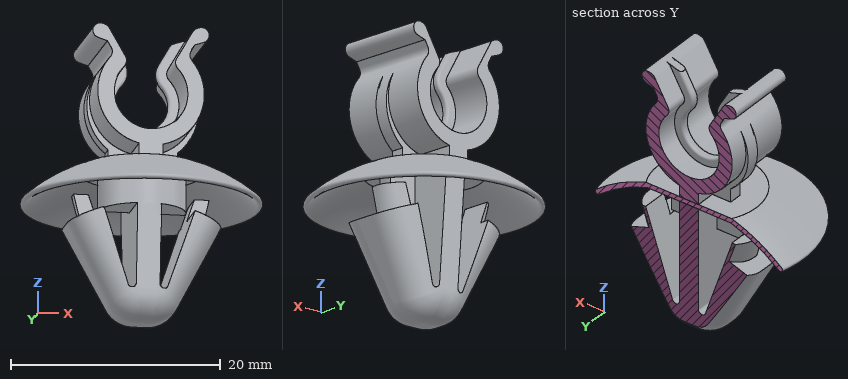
import cadquery as cq
import math


WASHER_RADIUS = 11.593
WASHER_HEIGHT = 3.8
DOME_RADIUS = 17.55
RIM_ROUND = 0.3

SHELL = 2 * RIM_ROUND
RIM_CENTER_R = WASHER_RADIUS - RIM_ROUND
DOME_CENTER_Z = RIM_ROUND - math.sqrt((DOME_RADIUS - RIM_ROUND) ** 2 - RIM_CENTER_R**2)
CEILING_Z = WASHER_HEIGHT - SHELL

CLIP_TOP = 16.7
CLIP_LENGTH = 10.0
BORE_Z = 10.08
BORE_RADIUS = 3.57
RING_RADIUS = 5.18
LEG_HALF = 1.15
LIP_ROUND = 0.75
THROAT_ROUND = 0.88
ARM_THICKNESS = 0.82
THROAT_ANGLE = 43.0
ARM_LEAN = 30.0
LIP_TILT = 18.0
LIP_REACH = 5.65
NECK_ROUND = 0.75

INNER_RIB_DEPTH = 1.0
INNER_RIB_WIDTH = 0.9
INNER_RIB_ROUND = 0.3
RIB_ROOT = 0.2

OUTER_RIB_RADIUS = 5.44
OUTER_RIB_Z = 9.57
OUTER_RIB_WIDTH = 1.5
OUTER_RIB_LEG_HALF = 3.37

FOOT_DEPTH = 11.6
COLLAR_RADIUS = 4.25
COLLAR_DROP = 0.6
STEM_HALF = LEG_HALF
DRAFT = 5.0
NOSE_HALF = 2.52
NOSE_ROUND = 3.0
BARB_LEAN = 27.6
BARB_TIP_X = 7.45
BARB_INNER_LEAN = 18.75
SLOT_ROUND = 0.4
SLOT_BOTTOM = 8.75
TAB_X = 6.35
TAB_LEAN = 13.4
TAB_HALF = 3.57
TAB_TOP = 1.0
TAB_BOTTOM = -3.4
STEM_FOOT = 5.65

DRAFT_SLOPE = math.tan(math.radians(DRAFT))
FOOT_HALF = COLLAR_RADIUS + DRAFT_SLOPE * COLLAR_DROP


def polar(center, radius, degrees):
    """Point at a distance and an angle from another point in the XZ plane."""
    angle = math.radians(degrees)
    return (center[0] + radius * math.cos(angle), center[1] + radius * math.sin(angle))


def cross_lines(p, p_degrees, q, q_degrees):
    """Where two lines, each given by a point and a direction, cross."""
    px, pz = polar((0, 0), 1, p_degrees)
    qx, qz = polar((0, 0), 1, q_degrees)
    t = ((q[0] - p[0]) * qz - (q[1] - p[1]) * qx) / (px * qz - pz * qx)
    return polar(p, t, p_degrees)


def mirrored(point):
    return (-point[0], point[1])


def extrude_y(outline, width):
    """Extrude an XZ outline symmetrically about y = 0."""
    return outline.extrude(width / 2, both=True)


def make_washer():
    rim_angle = math.degrees(math.atan2(RIM_ROUND - DOME_CENTER_Z, RIM_CENTER_R))
    dome_center = (0, DOME_CENTER_Z)
    rim_center = (RIM_CENTER_R, RIM_ROUND)

    def dome_arc(radius, top_z):
        top_angle = math.degrees(math.asin((top_z - DOME_CENTER_Z) / radius))
        mid = polar(dome_center, radius, (rim_angle + top_angle) / 2)
        return polar(dome_center, radius, top_angle), mid

    outer_top, outer_mid = dome_arc(DOME_RADIUS, WASHER_HEIGHT)
    inner_top, inner_mid = dome_arc(DOME_RADIUS - SHELL, CEILING_Z)
    rim_mid = polar(rim_center, RIM_ROUND, rim_angle - 90)
    profile = (
        cq.Workplane("XZ")
        .moveTo(0, CEILING_Z)
        .lineTo(*inner_top)
        .threePointArc(inner_mid, polar(rim_center, RIM_ROUND, rim_angle + 180))
        .threePointArc(rim_mid, polar(rim_center, RIM_ROUND, rim_angle))
        .threePointArc(outer_mid, outer_top)
        .lineTo(0, WASHER_HEIGHT)
        .close()
    )
    return profile.revolve(360, (0, 0, 0), (0, 1, 0))


BORE = (0, BORE_Z)
THROAT = polar(BORE, BORE_RADIUS + THROAT_ROUND, 180 - THROAT_ANGLE)
LIP = (-(LIP_REACH - LIP_ROUND), CLIP_TOP - LIP_ROUND)
ARM_DIRECTION = 90 + ARM_LEAN
LIP_DIRECTION = 180 - LIP_TILT
LIP_TOP_TANGENT = polar(LIP, LIP_ROUND, 90 - LIP_TILT)
LIP_BOTTOM_TANGENT = polar(LIP, LIP_ROUND, 270 - LIP_TILT)


def arm_start(depth):
    """Lower end of the straight inner arm face, moved inward by depth."""
    return polar(THROAT, THROAT_ROUND + depth, ARM_LEAN)


def arm_end(depth):
    """Where the inner arm face meets the plane of the lip's top."""
    return cross_lines(arm_start(depth), ARM_DIRECTION, LIP_TOP_TANGENT, LIP_DIRECTION)


def follow_mouth(outline, depth):
    """Continue an outline from the left arm's inner face round the bore to the right arm."""
    throat = THROAT_ROUND + depth
    bore = BORE_RADIUS - depth
    throat_mid = polar(THROAT, throat, (ARM_LEAN - THROAT_ANGLE) / 2)
    throat_end = polar(THROAT, throat, -THROAT_ANGLE)
    return (
        outline.lineTo(*arm_start(depth))
        .threePointArc(throat_mid, throat_end)
        .threePointArc((0, BORE_Z - bore), mirrored(throat_end))
        .threePointArc(mirrored(throat_mid), mirrored(arm_start(depth)))
    )


def neck_center():
    """Centre of the round that touches the arm's outer face and the ring."""
    start = arm_start(-ARM_THICKNESS - NECK_ROUND)
    ux, uz = polar((0, 0), 1, ARM_DIRECTION)
    dx, dz = start[0], start[1] - BORE_Z
    nearest = dx * ux + dz * uz
    reach = RING_RADIUS + NECK_ROUND
    return polar(start, math.sqrt(nearest**2 - dx**2 - dz**2 + reach**2) - nearest, ARM_DIRECTION)


def make_arms():
    neck = neck_center()
    neck_angle = math.degrees(math.atan2(neck[1] - BORE_Z, neck[0]))
    corner = arm_end(0)
    turn = LIP_DIRECTION - ARM_DIRECTION
    setback = LIP_ROUND * math.tan(math.radians(turn / 2))
    corner_start = polar(corner, setback, LIP_DIRECTION)
    corner_end = polar(corner, -setback, ARM_DIRECTION)
    corner_center = polar(corner_start, -LIP_ROUND, 90 - LIP_TILT)
    leg_top = BORE_Z - math.sqrt(RING_RADIUS**2 - LEG_HALF**2)
    ring_start = (-LEG_HALF, leg_top)
    ring_mid = polar(BORE, RING_RADIUS, 190)
    ring_end = polar(BORE, RING_RADIUS, neck_angle)
    neck_mid = polar(neck, NECK_ROUND, (neck_angle - 180 + ARM_LEAN) / 2)
    neck_end = polar(neck, NECK_ROUND, ARM_LEAN)
    armpit = cross_lines(neck_end, ARM_DIRECTION, LIP_BOTTOM_TANGENT, LIP_DIRECTION)
    lip_mid = polar(LIP, LIP_ROUND, 180 - LIP_TILT)
    corner_mid = polar(corner_center, LIP_ROUND, 90 - LIP_TILT - turn / 2)
    outline = (
        cq.Workplane("XZ")
        .moveTo(-LEG_HALF, WASHER_HEIGHT)
        .lineTo(*ring_start)
        .threePointArc(ring_mid, ring_end)
        .threePointArc(neck_mid, neck_end)
        .lineTo(*armpit)
        .lineTo(*LIP_BOTTOM_TANGENT)
        .threePointArc(lip_mid, LIP_TOP_TANGENT)
        .lineTo(*corner_start)
        .threePointArc(corner_mid, corner_end)
    )
    outline = (
        follow_mouth(outline, 0)
        .lineTo(*mirrored(corner_end))
        .threePointArc(mirrored(corner_mid), mirrored(corner_start))
        .lineTo(*mirrored(LIP_TOP_TANGENT))
        .threePointArc(mirrored(lip_mid), mirrored(LIP_BOTTOM_TANGENT))
        .lineTo(*mirrored(armpit))
        .lineTo(*mirrored(neck_end))
        .threePointArc(mirrored(neck_mid), mirrored(ring_end))
        .threePointArc(mirrored(ring_mid), mirrored(ring_start))
        .lineTo(LEG_HALF, WASHER_HEIGHT)
        .close()
    )
    return extrude_y(outline, CLIP_LENGTH)


def make_mouth(depth):
    """Filled bore and mouth, narrowed by depth, up to the planes of the two lips' tops."""
    valley = cross_lines(LIP_TOP_TANGENT, LIP_DIRECTION, (0, 0), 90)
    outline = follow_mouth(cq.Workplane("XZ").moveTo(*arm_end(depth)), depth)
    outline = outline.lineTo(*mirrored(arm_end(depth))).lineTo(*valley).close()
    return extrude_y(outline, INNER_RIB_WIDTH)


def make_inner_rib():
    """Round-edged rib following the inside of the arms and the bore."""
    rib = make_mouth(-RIB_ROOT).cut(make_mouth(INNER_RIB_DEPTH))
    bore_edges = rib.edges(cq.selectors.RadiusNthSelector(2))
    return bore_edges.fillet(INNER_RIB_ROUND)


def make_outer_rib():
    """Rib on the back of the ring, fading out where its arc crosses the ring's, with a wider leg."""
    fade_z = (
        (OUTER_RIB_RADIUS**2 - RING_RADIUS**2 + BORE_Z**2 - OUTER_RIB_Z**2) / (BORE_Z - OUTER_RIB_Z) / 2
    )
    root_radius = (BORE_RADIUS + RING_RADIUS) / 2
    keep_height = fade_z - WASHER_HEIGHT
    keep = extrude_y(
        cq.Workplane("XZ").center(0, WASHER_HEIGHT + keep_height / 2).rect(4 * RING_RADIUS, keep_height),
        OUTER_RIB_WIDTH,
    )
    leg_height = OUTER_RIB_Z - WASHER_HEIGHT
    leg = extrude_y(
        cq.Workplane("XZ").center(0, WASHER_HEIGHT + leg_height / 2).rect(2 * OUTER_RIB_LEG_HALF, leg_height),
        OUTER_RIB_WIDTH,
    )
    arc = extrude_y(cq.Workplane("XZ").center(0, OUTER_RIB_Z).circle(OUTER_RIB_RADIUS), OUTER_RIB_WIDTH)
    core = extrude_y(cq.Workplane("XZ").center(0, BORE_Z).circle(root_radius), OUTER_RIB_WIDTH)
    return arc.intersect(keep).union(leg).cut(core)


def make_clip():
    return make_arms().union(make_outer_rib(), clean=False).union(make_inner_rib(), clean=False)


def drafted(outline, half_width, y_min_factor=-1):
    """Extrude an XZ outline along Y between sides that lean in toward the bottom; half_width is at z = 0."""
    low = -FOOT_DEPTH
    high = WASHER_HEIGHT
    low_half = half_width + DRAFT_SLOPE * low
    high_half = half_width + DRAFT_SLOPE * high
    section = (
        cq.Workplane("YZ")
        .polyline([
            (y_min_factor * low_half, low),
            (low_half, low),
            (high_half, high),
            (y_min_factor * high_half, high),
        ])
        .close()
        .extrude(2 * BARB_TIP_X, both=True)
    )
    return extrude_y(outline, 4 * half_width).intersect(section)


def barb_inner_x(z):
    """Inner face of the right barb, tangent to the slot's rounded end."""
    lean = math.radians(BARB_INNER_LEAN)
    touch_x = STEM_HALF + SLOT_ROUND * (1 + math.cos(lean))
    touch_z = SLOT_ROUND * (1 - math.sin(lean)) - SLOT_BOTTOM
    return touch_x + (z - touch_z) * math.tan(lean)


def make_arrowhead():
    """Solid arrowhead that the slots later divide into two barbs."""
    tip_z = (BARB_TIP_X - NOSE_HALF) / math.tan(math.radians(BARB_LEAN)) - FOOT_DEPTH
    center_z = tip_z + BARB_TIP_X * math.tan(math.radians(BARB_INNER_LEAN))
    outline = (
        cq.Workplane("XZ")
        .polyline([
            (-NOSE_HALF, -FOOT_DEPTH),
            (NOSE_HALF, -FOOT_DEPTH),
            (BARB_TIP_X, tip_z),
            (0, center_z),
            (-BARB_TIP_X, tip_z),
        ])
        .close()
    )
    body = drafted(outline, FOOT_HALF)
    middle_x = (BARB_TIP_X + NOSE_HALF) / 2
    middle_z = (tip_z - FOOT_DEPTH) / 2
    middle_y = FOOT_HALF + DRAFT_SLOPE * middle_z
    low_y = FOOT_HALF - DRAFT_SLOPE * FOOT_DEPTH
    near = cq.selectors.NearestToPointSelector
    edges = []
    for side in (-1, 1):
        edges += body.edges(near((side * middle_x, -middle_y, middle_z))).vals()
        edges += body.edges(near((side * middle_x, middle_y, middle_z))).vals()
        edges += body.edges(near((side * NOSE_HALF, 0, -FOOT_DEPTH))).vals()
        edges += body.edges(near((0, side * low_y, -FOOT_DEPTH))).vals()
    return body.newObject(edges).fillet(NOSE_ROUND)


def make_tab(side):
    """Rounded tab above one barb, on its +Y half only."""
    def outer_x(z):
        return TAB_X + z * math.tan(math.radians(TAB_LEAN))

    outline = (
        cq.Workplane("XZ")
        .polyline([
            (0, TAB_BOTTOM),
            (side * outer_x(TAB_BOTTOM), TAB_BOTTOM),
            (side * outer_x(TAB_TOP), TAB_TOP),
            (0, TAB_TOP),
        ])
        .close()
    )
    tab = drafted(outline, TAB_HALF, 0)
    outer_edge = (side * TAB_X, TAB_HALF, 0)
    return tab.edges(cq.selectors.NearestToPointSelector(outer_edge)).fillet(NOSE_ROUND)


def make_slot(side):
    """Gap between the stem and one barb, rounded at its lower end."""
    lean = math.radians(BARB_INNER_LEAN)
    center = (STEM_HALF + SLOT_ROUND, SLOT_ROUND - SLOT_BOTTOM)
    touch_z = center[1] - SLOT_ROUND * math.sin(lean)
    outline = (
        cq.Workplane("XZ")
        .moveTo(side * STEM_HALF, CEILING_Z)
        .lineTo(side * STEM_HALF, center[1])
        .threePointArc((side * center[0], -SLOT_BOTTOM), (side * barb_inner_x(touch_z), touch_z))
        .lineTo(side * barb_inner_x(CEILING_Z), CEILING_Z)
        .close()
    )
    return extrude_y(outline, 4 * COLLAR_RADIUS)


def make_stem_block():
    height = CEILING_Z + STEM_FOOT
    slab = cq.Workplane("XZ").center(0, CEILING_Z - height / 2).rect(2 * STEM_HALF, height)
    return drafted(slab, FOOT_HALF)


def make_stem():
    """Stem block, rounded to the collar's radius on the -Y side."""
    front = cq.Workplane("XY").circle(COLLAR_RADIUS).extrude(FOOT_DEPTH, both=True)
    back = cq.Workplane("XY").box(2 * STEM_HALF, 2 * COLLAR_RADIUS, 2 * FOOT_DEPTH, (True, False, True))
    return make_stem_block().intersect(front.union(back))


def make_collar():
    """Half disc on the -Y side, up to the washer's ceiling."""
    height = CEILING_Z + COLLAR_DROP
    disc = cq.Workplane("XY").workplane(offset=-COLLAR_DROP).circle(COLLAR_RADIUS).extrude(height)
    half = cq.Workplane("XY").box(4 * COLLAR_RADIUS, 2 * COLLAR_RADIUS, 4 * FOOT_DEPTH, (True, False, True))
    return disc.cut(half)


def make_foot():
    foot = make_arrowhead()
    for side in (-1, 1):
        foot = foot.union(make_tab(side))
    for side in (-1, 1):
        foot = foot.cut(make_slot(side))
    foot = foot.cut(make_stem_block())
    return foot.union(make_stem()).union(make_collar())


washer = make_washer()
clip = make_clip()
foot = make_foot()

result = cq.Compound.makeCompound([washer.val(), clip.val(), foot.val()])